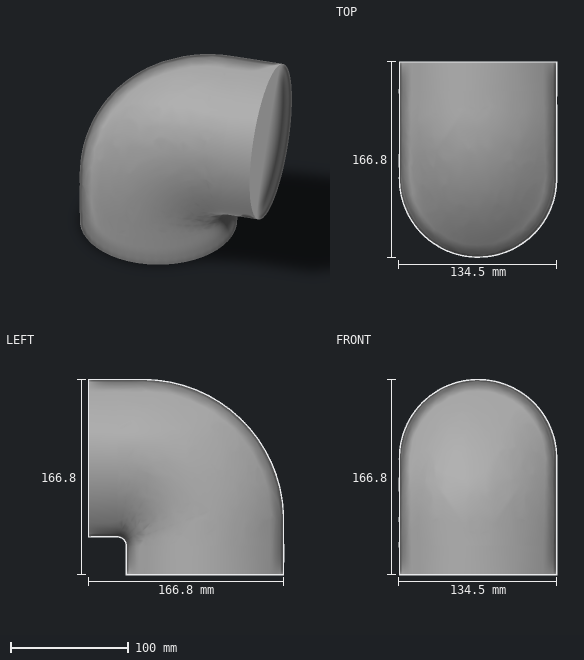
import cadquery as cq
import math

outer_diameter = 134.5
collar_length = 25.0
axis_to_face = 99.5
back_radius = 120.0
section_count = 13

outer_radius = outer_diameter / 2
bend_radius = axis_to_face - collar_length
throat_radius = bend_radius - outer_radius
back_reach = bend_radius + outer_radius
back_lead = back_reach - back_radius
bend_pivot = cq.Vector(0, bend_radius, collar_length)

lower_face = cq.Plane(origin=(0, 0, 0), xDir=(1, 0, 0), normal=(0, 0, 1))
rear_face = cq.Plane(origin=(0, axis_to_face, axis_to_face), xDir=(1, 0, 0), normal=(0, -1, 0))


def collar(end_face):
    """Straight cylindrical end, extruded from an end face toward the bend."""
    return cq.Workplane(end_face).circle(outer_radius).extrude(collar_length)


def back_distance(angle):
    """Distance from the bend pivot to the back outline, at an angle above the lower collar."""
    lead_angle = math.atan2(back_lead, back_reach)
    angle_from_nearest_end = min(angle, math.pi / 2 - angle)
    if angle_from_nearest_end < lead_angle:
        return back_reach / math.cos(angle_from_nearest_end)
    along_ray = back_lead * (math.cos(angle) + math.sin(angle))
    across_ray = back_lead * (math.cos(angle) - math.sin(angle))
    return along_ray + math.sqrt(back_radius**2 - across_ray**2)


def bend_section(angle):
    """Elliptical cross-section spanning from the throat arc to the back outline."""
    back = back_distance(angle)
    center_distance = (back + throat_radius) / 2
    half_depth = (back - throat_radius) / 2
    toward_back = cq.Vector(0, -math.cos(angle), math.sin(angle))
    center = bend_pivot + toward_back * center_distance
    travel_direction = cq.Vector(0, math.sin(angle), math.cos(angle))
    section_plane = cq.Plane(origin=center, xDir=toward_back, normal=travel_direction)
    return cq.Workplane(section_plane).ellipse(half_depth, outer_radius).val()


def bend():
    """Quarter-turn body with a tight throat and a full, rounded back."""
    angle_step = math.pi / 2 / (section_count - 1)
    sections = [bend_section(i * angle_step) for i in range(section_count)]
    return cq.Workplane(cq.Solid.makeLoft(sections))


result = bend().union(collar(lower_face)).union(collar(rear_face))